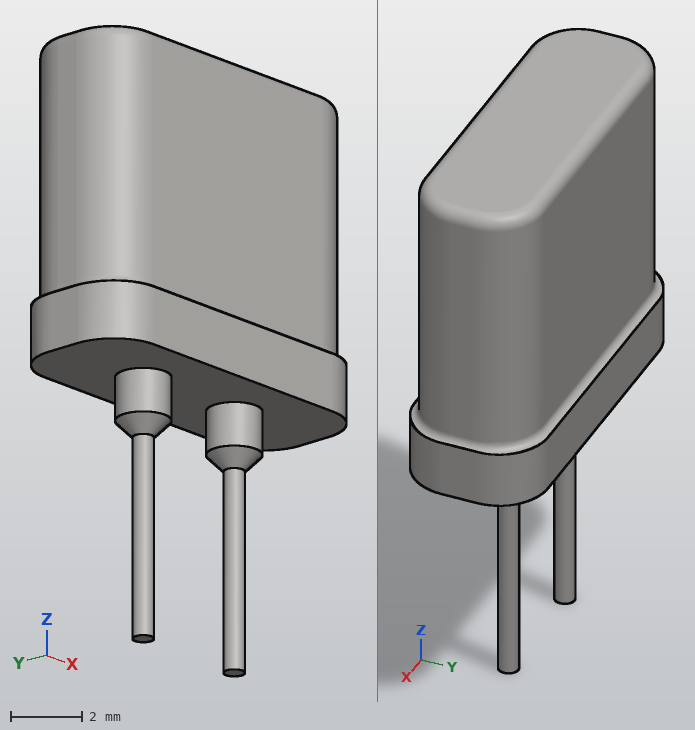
import cadquery as cq

total_height = 17.3

base_length = 10.54
base_width = 4.12
base_height = 1.73
base_top = base_height

can_length = 10.2
can_width = 3.7
can_height = 7.78
corner_radius = 1.5
can_top_fillet = 0.4
can_foot_fillet = 0.25

lead_spacing = 3.82
collar_radius = 1.6 / 2
collar_height = 1.3
wire_radius = 0.6 / 2
taper_height = collar_radius - wire_radius
lead_height = total_height - can_height - base_height



def rounded_block(length, width, height, bottom):
    """Upright block with rounded vertical corners, centred on the Z axis."""
    return (
        cq.Workplane("XY")
        .workplane(offset=bottom)
        .rect(length, width)
        .extrude(height)
        .edges("|Z")
        .fillet(corner_radius)
    )


def make_base():
    """Plain rounded plate under the can."""
    return rounded_block(base_length, base_width, base_height, 0)


def make_can():
    """Can with a rounded top and a foot that flares out towards the rim of the base."""
    flange_length = base_length + 2 * can_foot_fillet
    flange_width = base_width + 2 * can_foot_fillet
    flange = cq.Workplane("XY").rect(flange_length, flange_width).extrude(base_height)
    wall = rounded_block(can_length, can_width, can_height, base_top)
    at_foot = cq.selectors.BoxSelector(
        (-base_length / 2, -base_width / 2, base_top - can_foot_fillet),
        (base_length / 2, base_width / 2, base_top + can_foot_fillet),
        boundingbox=True,
    )
    flared = flange.union(wall).edges(at_foot).fillet(can_foot_fillet)
    trim = rounded_block(base_length, base_width, can_height, base_top)
    return flared.intersect(trim).faces(">Z").edges().fillet(can_top_fillet)


def make_lead(x):
    """Collar, taper and wire turned as one piece about a vertical axis at x."""
    taper_bottom = -collar_height - taper_height
    return (
        cq.Workplane("XZ", origin=(x, 0, 0))
        .moveTo(0, 0)
        .lineTo(collar_radius, 0)
        .lineTo(collar_radius, -collar_height)
        .lineTo(wire_radius, taper_bottom)
        .lineTo(wire_radius, -lead_height)
        .lineTo(0, -lead_height)
        .close()
        .revolve(360, (0, 0, 0), (0, 1, 0))
    )


can = make_can()
base = make_base()
leads = [make_lead(side * lead_spacing / 2) for side in (-1, 1)]

result = cq.Compound.makeCompound([can.val(), base.val(), *[lead.val() for lead in leads]])